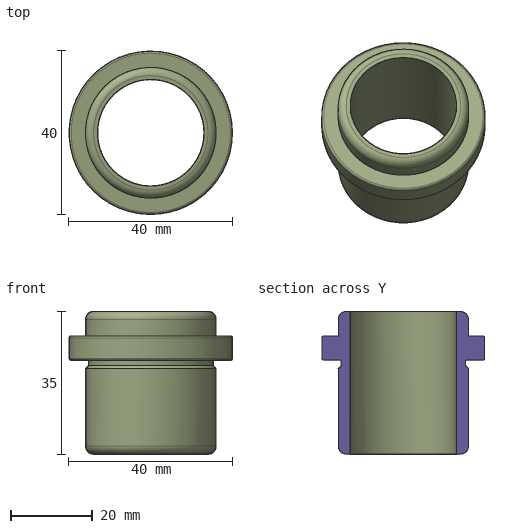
import cadquery as cq

total_height = 35.0
bore_radius = 13.0
body_radius = 16.0
end_fillet = 2.0

flange_radius = 20.0
flange_thickness = 6.0
flange_fillet = 0.5
collar_height = 6.0

groove_depth = 0.7
groove_width = 2.0
groove_taper = groove_depth

flange_top = total_height - collar_height
flange_bottom = flange_top - flange_thickness
groove_bottom = flange_bottom - groove_width
groove_radius = body_radius - groove_depth


def disc(radius, bottom, top):
    """Solid cylinder on the Z axis between two levels."""
    return cq.Workplane("XY").workplane(offset=bottom).circle(radius).extrude(top - bottom)


def make_body():
    """Straight sleeve blank with both outer ends rounded."""
    return disc(body_radius, 0, total_height).edges("%CIRCLE").fillet(end_fillet)


def make_flange():
    """Locating flange with softened rims."""
    return disc(flange_radius, flange_bottom, flange_top).edges("%CIRCLE").fillet(flange_fillet)


def make_groove():
    """Relief ring under the flange, tapering out to the sleeve at its lower side."""
    profile = [
        (groove_radius, flange_bottom),
        (groove_radius, groove_bottom + groove_taper),
        (body_radius, groove_bottom),
        (flange_radius, groove_bottom),
        (flange_radius, flange_bottom),
    ]
    return cq.Workplane("XZ").polyline(profile).close().revolve(360, (0, 0, 0), (0, 1, 0))


result = (
    make_body()
    .cut(make_groove())
    .union(make_flange())
    .cut(disc(bore_radius, 0, total_height))
)